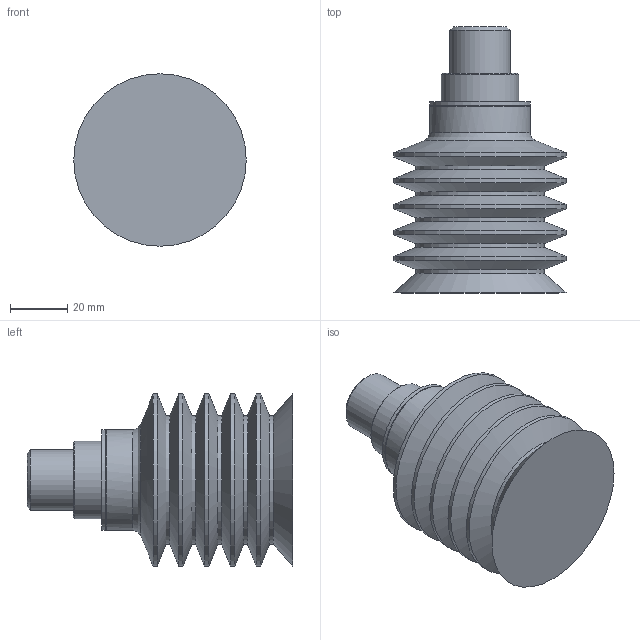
import cadquery as cq

bellows_diameter = 60.0
valley_diameter = 44.65
lip_height = 6.8
land_width = 1.4
pleat_pitch = 9.0
pleat_count = 5
flank_height = pleat_pitch / 2 - land_width

collar_diameter = 35.0
neck_fillet = 3.0
collar_seam_y = 65.0
seam_width = 0.25
seam_diameter = 34.5

flange_top_y = 66.55
shoulder_diameter = 27.0
shoulder_top_y = 76.4
shoulder_chamfer = 0.3
spigot_diameter = 20.95
spigot_chamfer = 1.15
total_length = 92.55

bellows_radius = bellows_diameter / 2
valley_radius = valley_diameter / 2
collar_radius = collar_diameter / 2

flank_slope = flank_height / (bellows_radius - valley_radius)
top_crest_y = lip_height + pleat_pitch * pleat_count - flank_height
collar_base_y = top_crest_y + flank_slope * (bellows_radius - collar_radius)


def cylinder(diameter, start_y, end_y):
    """Solid cylinder on the Y axis between two stations."""
    base = cq.Workplane("XZ", origin=(0, start_y, 0))
    return base.circle(diameter / 2).extrude(start_y - end_y)


def make_bellows():
    """Revolved lip, pleats and collar, with a fillet where pleats meet collar."""
    profile = cq.Workplane("XY").lineTo(bellows_radius, 0)
    for pleat in range(pleat_count):
        valley_y = lip_height + pleat * pleat_pitch
        crest_y = valley_y + land_width + flank_height
        profile = profile.lineTo(valley_radius, valley_y)
        profile = profile.lineTo(valley_radius, valley_y + land_width)
        profile = profile.lineTo(bellows_radius, crest_y)
        profile = profile.lineTo(bellows_radius, crest_y + land_width)
    profile = profile.lineTo(collar_radius, collar_base_y)
    profile = profile.lineTo(collar_radius, collar_seam_y).lineTo(0, collar_seam_y).close()
    body = profile.revolve(360, (0, 0, 0), (0, 1, 0))
    neck_band = cq.selectors.BoxSelector(
        (-collar_diameter, collar_base_y - neck_fillet / 2, -collar_diameter),
        (collar_diameter, collar_base_y + neck_fillet / 2, collar_diameter),
    )
    return body.edges("%CIRCLE").edges(neck_band).fillet(neck_fillet)


def make_fitting():
    """Flange, shoulder and spigot above a narrow seam groove."""
    seam_top_y = collar_seam_y + seam_width
    seam = cylinder(seam_diameter, collar_seam_y, seam_top_y)
    flange = cylinder(collar_diameter, seam_top_y, flange_top_y)
    shoulder = cylinder(shoulder_diameter, flange_top_y, shoulder_top_y)
    shoulder = shoulder.faces(">Y").chamfer(shoulder_chamfer)
    spigot = cylinder(spigot_diameter, shoulder_top_y, total_length)
    spigot = spigot.faces(">Y").chamfer(spigot_chamfer)
    return seam.union(flange).union(shoulder).union(spigot)


result = make_bellows().union(make_fitting())